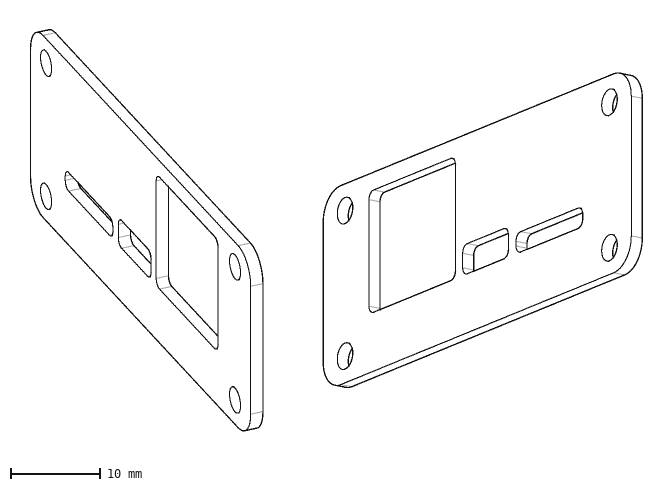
import cadquery as cq

length = 60.6
thickness = 1.5
height = 23.2
corner_radius = 3.45

hole_diameter = 3.0
hole_spacing_x = 52.0
hole_spacing_z = 16.95

cutout_bottom = -4.7
cutout_corner_radius = 0.9

long_slot = (-20.7, 13.1, 2.35)
short_slot = (-6.1, 8.95, 3.5)
window = (4.3, 16.95, 14.25)


def rounded_block(width, block_height, radius):
    """Block through the plate thickness, with rounded corners in XZ."""
    return cq.Workplane("XY").box(width, thickness, block_height).edges("|Y").fillet(radius)


def cutout(left, width, cutout_height):
    """Rounded opening resting on the shared bottom edge."""
    center = (left + width / 2, 0, cutout_bottom + cutout_height / 2)
    return rounded_block(width, cutout_height, cutout_corner_radius).translate(center)


plate = rounded_block(length, height, corner_radius)

plate = (
    plate.faces("<Y")
    .workplane(centerOption="CenterOfBoundBox")
    .rect(hole_spacing_x, hole_spacing_z, forConstruction=True)
    .vertices()
    .hole(hole_diameter)
)

for opening in (long_slot, short_slot, window):
    plate = plate.cut(cutout(*opening))

result = plate